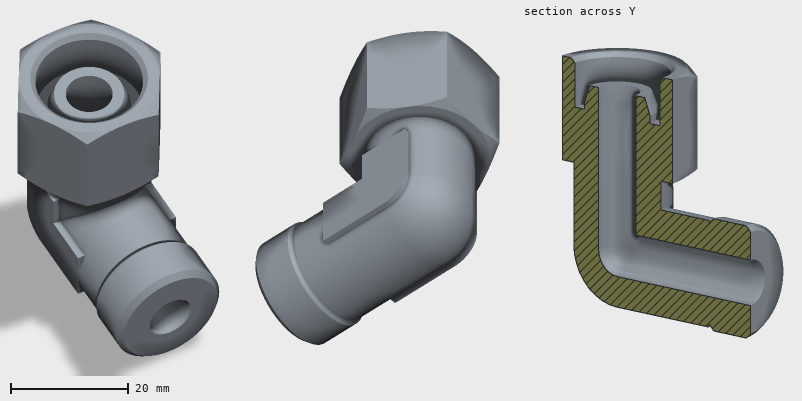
import cadquery as cq
import math

body_diameter = 19.0
body_radius = body_diameter / 2
bore_radius = 8.0 / 2

nut_across_flats = 24.0
nut_corner_diameter = nut_across_flats / math.cos(math.pi / 6)
nut_top = 33.0
nut_height = 18.5
nut_bottom = nut_top - nut_height
nut_chamfer_angle = math.radians(30)
nut_bore_radius = 18.35 / 2
nut_mouth_radius = 20.0 / 2
nut_mouth_depth = 0.8
nut_bore_depth = 8.6

nipple_tip_radius = 12.0 / 2
nipple_base_radius = 7.15
nipple_recess = 4.2
nipple_taper_length = 3.1

collar_radius = 20.0 / 2
collar_end = 29.0
collar_length = 9.05
collar_chamfer = 1.0

pad_half_width = body_radius / 2
pad_top = 10.58
pad_end = 13.5


def make_body():
    upright = cq.Workplane("XY").circle(body_radius).extrude(nut_bottom)
    branch = cq.Workplane("YZ").circle(body_radius).extrude(collar_end - collar_length)
    corner = cq.Workplane("XY").sphere(body_radius)
    return upright.union(branch).union(corner)


def make_collar():
    collar = cq.Workplane("YZ").workplane(offset=collar_end - collar_length)
    return collar.circle(collar_radius).extrude(collar_length).edges().chamfer(collar_chamfer)


def make_pads():
    middle = pad_half_width * math.sqrt(0.5)
    return (
        cq.Workplane("XZ")
        .moveTo(-pad_half_width, 0)
        .lineTo(-pad_half_width, pad_top)
        .lineTo(pad_half_width, pad_top)
        .lineTo(pad_half_width, pad_half_width)
        .lineTo(pad_end, pad_half_width)
        .lineTo(pad_end, -pad_half_width)
        .lineTo(0, -pad_half_width)
        .threePointArc((-middle, -middle), (-pad_half_width, 0))
        .close()
        .extrude(body_radius, both=True)
    )


def make_nut():
    hexagon = (
        cq.Workplane("XY", origin=(0, 0, nut_bottom))
        .transformed(rotate=(0, 0, 90))
        .polygon(6, nut_corner_diameter)
        .extrude(nut_height)
    )
    flat_radius = nut_across_flats / 2
    corner_radius = nut_corner_diameter / 2
    bevel = (corner_radius - flat_radius) * math.tan(nut_chamfer_angle)
    envelope = (
        cq.Workplane("XZ")
        .polyline([
            (0, nut_bottom),
            (flat_radius, nut_bottom),
            (corner_radius, nut_bottom + bevel),
            (corner_radius, nut_top - bevel),
            (flat_radius, nut_top),
            (0, nut_top),
        ])
        .close()
        .revolve(360, (0, 0), (0, 1))
    )
    floor = nut_top - nut_bore_depth
    cavity = (
        cq.Workplane("XZ")
        .polyline([
            (0, floor),
            (nut_bore_radius, floor),
            (nut_bore_radius, nut_top - nut_mouth_depth),
            (nut_mouth_radius, nut_top),
            (0, nut_top),
        ])
        .close()
        .revolve(360, (0, 0), (0, 1))
    )
    return hexagon.intersect(envelope).cut(cavity)


def make_nipple():
    floor = nut_top - nut_bore_depth
    tip = nut_top - nipple_recess
    return (
        cq.Workplane("XZ")
        .polyline([
            (0, floor),
            (nipple_base_radius, floor),
            (nipple_base_radius, tip - nipple_taper_length),
            (nipple_tip_radius, tip),
            (0, tip),
        ])
        .close()
        .revolve(360, (0, 0), (0, 1))
    )


def make_bore():
    upright = cq.Workplane("XY").circle(bore_radius).extrude(nut_top)
    branch = cq.Workplane("YZ").circle(bore_radius).extrude(collar_end)
    corner = cq.Workplane("XY").sphere(bore_radius)
    return upright.union(branch).union(corner)


solid_parts = make_body().union(make_collar()).union(make_pads()).union(make_nut()).union(make_nipple())
result = solid_parts.cut(make_bore())